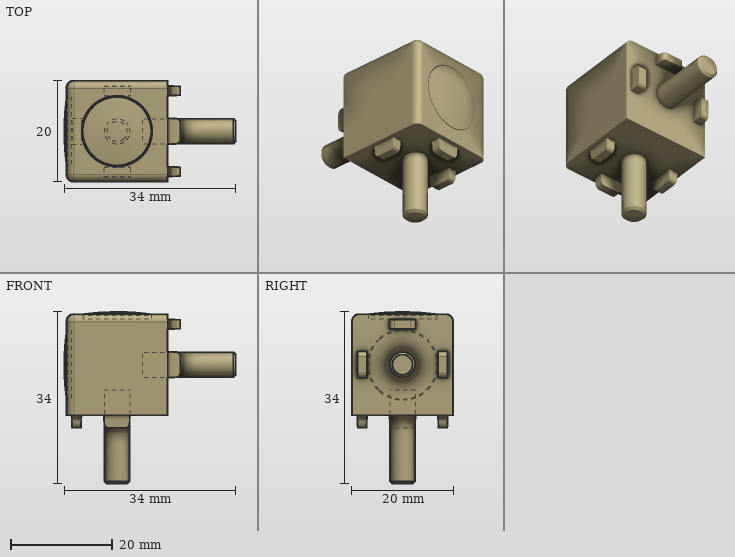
import cadquery as cq


overall_length = 33.95

cube_side = 20.0
half_side = cube_side / 2
edge_radius = 1.5

tab_height = 2.5
tab_thickness = 2.0
tab_width = 5.2
tab_inset = 1.02
tab_draft = 2.5
tab_corner_radius = 0.9

cap_diameter = 13.5
cap_depth = 1.0
cap_rim_drop = 0.05
dome_height = 0.45
recess_mouth_diameter = 14.0
recess_chamfer = (recess_mouth_diameter - cap_diameter) / 2
recess_chamfer_angle = 45

stud_diameter = 5.0
stud_projection = overall_length - cube_side - dome_height
stud_chamfer = 0.5
socket_depth = stud_diameter


def turn_to_x(body):
    """Half turn about the X = -Z diagonal: +Z goes to -X and -Z goes to +X."""
    return body.rotate((0, 0, 0), (1, 0, -1), 180)


def make_block():
    """Cube with the edges of the capped faces rounded."""
    block = cq.Workplane("XY").box(cube_side, cube_side, cube_side)
    rounded_edges = "(>Z and (not >X)) or (<X and (not <Z))"
    return block.edges(rounded_edges).fillet(edge_radius)


def make_tab():
    """Drafted tab below the -Z face, next to the -X face, long along Y."""
    tab_centre = -half_side + tab_inset + tab_thickness / 2
    return (
        cq.Workplane("XY", origin=(tab_centre, 0, -half_side))
        .rect(tab_thickness, tab_width)
        .extrude(-tab_height, taper=tab_draft)
        .faces("<Z")
        .edges("<Y or >Y")
        .fillet(tab_corner_radius)
    )


def make_tab_set():
    """Three tabs on the -Z face, along its -X, -Y and +Y sides."""
    tab = make_tab()
    return [tab.rotate((0, 0, 0), (0, 0, 1), angle) for angle in (-90, 0, 90)]


def make_cap_recess():
    """Cutter for the countersunk round recess in the +Z face."""
    recess = (
        cq.Workplane("XY", origin=(0, 0, half_side - cap_depth))
        .circle(cap_diameter / 2)
        .extrude(cap_depth)
    )
    countersink = (
        cq.Workplane("XY", origin=(0, 0, half_side))
        .circle(recess_mouth_diameter / 2)
        .extrude(-recess_chamfer, taper=recess_chamfer_angle)
    )
    return recess.union(countersink)


def make_stud_socket():
    """Cutter for the blind socket in the -Z face."""
    return (
        cq.Workplane("XY", origin=(0, 0, -half_side))
        .circle(stud_diameter / 2)
        .extrude(socket_depth)
    )


def make_housing():
    housing = make_block()
    for tab in make_tab_set():
        housing = housing.union(tab).union(turn_to_x(tab))
    for cutter in (make_cap_recess(), make_stud_socket()):
        housing = housing.cut(cutter).cut(turn_to_x(cutter))
    return housing


def make_cap():
    """Disc in the +Z recess with a shallow spherical dome on top."""
    rim_radius = cap_diameter / 2
    rise = dome_height + cap_rim_drop
    sphere_radius = (rim_radius**2 + rise**2) / (2 * rise)
    sphere_centre = half_side + dome_height - sphere_radius
    sphere = cq.Workplane("XY", origin=(0, 0, sphere_centre)).sphere(sphere_radius)
    return (
        cq.Workplane("XY", origin=(0, 0, half_side - cap_depth))
        .circle(rim_radius)
        .extrude(cap_depth + dome_height)
        .intersect(sphere)
    )


def make_stud():
    """Stud seated in the -Z socket, chamfered at its free end."""
    return (
        cq.Workplane("XY", origin=(0, 0, -half_side + socket_depth))
        .circle(stud_diameter / 2)
        .extrude(-(socket_depth + stud_projection))
        .faces("<Z")
        .chamfer(stud_chamfer)
    )


housing = make_housing()

caps = []
studs = []
for turned in (False, True):
    cap = make_cap()
    stud = make_stud()
    caps.append(turn_to_x(cap) if turned else cap)
    studs.append(turn_to_x(stud) if turned else stud)

result = cq.Compound.makeCompound([housing.val(), *[body.val() for body in caps + studs]])